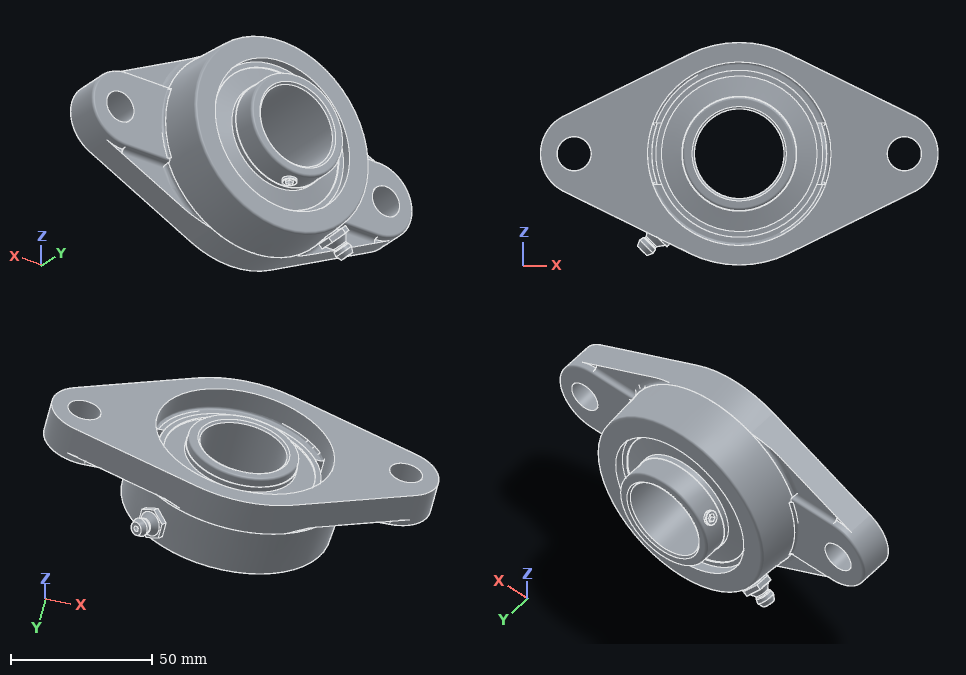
import cadquery as cq
import math


FLANGE_LENGTH = 141.0
FLANGE_HEIGHT = 79.0
END_RADIUS = 15.0
FLANGE_THICKNESS = 10.6
PAD_THICKNESS = 13.5
PAD_EDGE_RADIUS = 1.0
PLATE_COVE_RADIUS = 1.8
PAD_COVE_RADIUS = 1.0
BOLT_HOLE_DIAMETER = 12.0
BOLT_SPACING = 117.0

DRUM_BASE_Y = 11.5
DRUM_BACK_Y = 31.0
DRUM_BASE_RADIUS = FLANGE_HEIGHT / 2
DRUM_BACK_RADIUS = 38.2
DRUM_EDGE_RADIUS = 1.0

BEARING_CENTRE_Y = 18.0
SEAT_DIAMETER = 62.0
OUTER_RING_WIDTH = 18.6
RECESS_DIAMETER = 65.0
RECESS_FLOOR_DIAMETER = 63.0
LOADING_SLOT_WIDTH = 21.7
LOADING_SLOT_FILLET = 1.0

SEAL_OUTER_DIAMETER = 55.1
SEAL_THICKNESS = 1.4
SEAL_INSET = 0.5
SEAL_BULGE = 1.7
INNER_RING_DIAMETER = 40.3
SHOULDER_DIAMETER = 40.7
SHOULDER_INSET = 3.4
BORE_DIAMETER = 31.7
INNER_RING_FRONT_Y = 2.1
INNER_RING_BACK_Y = 40.2
INNER_RING_EDGE_RADIUS = 1.0
BORE_CHAMFER = 0.8

SCREW_DIAMETER = 5.4
SCREW_Y = 35.2
SCREW_ANGLES = (150, 270)
SCREW_INNER_REACH = 16.8
SCREW_OUTER_REACH = 21.2
SCREW_CHAMFER = 0.21
SOCKET_ACROSS_FLATS = 2.7
SOCKET_DEPTH = 2.1

NIPPLE_Y = 23.0
NIPPLE_ANGLE = 225
SHANK_DIAMETER = 5.6
SHANK_REACH = 35.2
HEX_BASE_REACH = 39.3
HEX_TOP_REACH = 41.5
HEX_ACROSS_CORNERS = 12.0
CONE_BASE_DIAMETER = 9.0
NECK_DIAMETER = 5.4
NECK_BASE_REACH = 44.0
NECK_TOP_REACH = 44.5
HEAD_BASE_DIAMETER = 6.0
HEAD_DIAMETER = 6.8
HEAD_BASE_REACH = 45.0
HEAD_TOP_REACH = 46.5
TIP_DIAMETER = 5.0
TIP_REACH = 48.6
GREASE_HOLE_DIAMETER = 2.0
GREASE_HOLE_DEPTH = 2.1

END_CENTRE_X = FLANGE_LENGTH / 2 - END_RADIUS
SEAT_RADIUS = SEAT_DIAMETER / 2
SEAT_OPENING_RADIUS = math.sqrt(SEAT_RADIUS**2 - (OUTER_RING_WIDTH / 2) ** 2)
OUTER_RING_FRONT_Y = BEARING_CENTRE_Y - OUTER_RING_WIDTH / 2
SHOULDER_WIDTH = 2 * (BEARING_CENTRE_Y - INNER_RING_FRONT_Y - SHOULDER_INSET)
OUTER_RING_BACK_Y = BEARING_CENTRE_Y + OUTER_RING_WIDTH / 2


def revolved(profile):
    """Revolve a profile, drawn with radius along X and depth along Y, about the Y axis."""
    return profile.close().revolve(360, (0, 0, 0), (0, 1, 0))


def profile_from(radius, depth):
    return cq.Workplane("XY").moveTo(radius, depth)


def face_plane(depth=0.0):
    """Workplane parallel to the mounting face, facing -Y, with local X and Y along X and Z."""
    return cq.Workplane("XZ", origin=(0, depth, 0))


def radial_plane(angle, depth, reach):
    """Workplane facing away from the bearing axis, at the given reach along the given angle."""
    direction = cq.Vector(math.cos(math.radians(angle)), 0, math.sin(math.radians(angle)))
    origin = direction * reach + cq.Vector(0, depth, 0)
    return cq.Workplane(cq.Plane(origin=origin, xDir=(0, 1, 0), normal=direction))


def flange_outline():
    """Central arc and two end arcs, joined by their common tangents."""
    tangent_sine = (DRUM_BASE_RADIUS - END_RADIUS) / END_CENTRE_X
    tangent_cosine = math.sqrt(1 - tangent_sine**2)
    mid_x = DRUM_BASE_RADIUS * tangent_sine
    mid_z = DRUM_BASE_RADIUS * tangent_cosine
    end_x = END_CENTRE_X + END_RADIUS * tangent_sine
    end_z = END_RADIUS * tangent_cosine
    return (
        face_plane()
        .moveTo(-mid_x, mid_z)
        .threePointArc((0, DRUM_BASE_RADIUS), (mid_x, mid_z))
        .lineTo(end_x, end_z)
        .threePointArc((FLANGE_LENGTH / 2, 0), (end_x, -end_z))
        .lineTo(mid_x, -mid_z)
        .threePointArc((0, -DRUM_BASE_RADIUS), (-mid_x, -mid_z))
        .lineTo(-end_x, -end_z)
        .threePointArc((-FLANGE_LENGTH / 2, 0), (-end_x, end_z))
        .close()
    )


def flange_plate():
    return flange_outline().extrude(-FLANGE_THICKNESS)


def bolt_pads():
    pads = face_plane().slot2D(FLANGE_LENGTH, 2 * END_RADIUS).extrude(-PAD_THICKNESS)
    return pads.faces(">Y").edges().fillet(PAD_EDGE_RADIUS)


def drum_radius(depth):
    """Radius of the drafted drum at the given depth."""
    draft = (DRUM_BASE_RADIUS - DRUM_BACK_RADIUS) / (DRUM_BACK_Y - DRUM_BASE_Y)
    return DRUM_BASE_RADIUS - draft * (depth - DRUM_BASE_Y)


def drum():
    body = revolved(
        profile_from(0, 0)
        .lineTo(DRUM_BASE_RADIUS, 0)
        .lineTo(DRUM_BASE_RADIUS, DRUM_BASE_Y)
        .lineTo(DRUM_BACK_RADIUS, DRUM_BACK_Y)
        .lineTo(0, DRUM_BACK_Y)
    )
    return body.faces(">Y").edges().fillet(DRUM_EDGE_RADIUS)


def cove(plane, corner, base_y, radius):
    """Closed concave fillet profile rising from base_y against a wall at the given distance."""
    arc_middle = radius * (1 - math.sqrt(0.5))
    return (
        cq.Workplane(plane)
        .moveTo(corner - radius, base_y)
        .lineTo(corner + radius, base_y)
        .threePointArc((corner + arc_middle, base_y + arc_middle), (corner, base_y + radius))
        .lineTo(corner - radius, base_y + radius)
        .close()
    )


def drum_coves():
    """Fillets around the foot of the drum, trimmed to the plate and to the pads."""
    axis = ((0, 0, 0), (0, 1, 0))
    plate_cove = cove("XY", DRUM_BASE_RADIUS, FLANGE_THICKNESS, PLATE_COVE_RADIUS).revolve(360, *axis)
    plate_cove = plate_cove.intersect(flange_outline().extrude(-DRUM_BACK_Y))
    pad_cove = cove("XY", drum_radius(PAD_THICKNESS), PAD_THICKNESS, PAD_COVE_RADIUS).revolve(360, *axis)
    pad_flat = face_plane().rect(FLANGE_LENGTH, 2 * (END_RADIUS - PAD_EDGE_RADIUS)).extrude(-DRUM_BACK_Y)
    return plate_cove.union(pad_cove.intersect(pad_flat))


def pad_side_coves():
    """Fillets along the straight sides of the pads."""
    strip = cove("ZY", END_RADIUS, FLANGE_THICKNESS, PLATE_COVE_RADIUS).extrude(END_CENTRE_X, both=True)
    strip = strip.intersect(flange_outline().extrude(-DRUM_BACK_Y))
    return strip.union(strip.mirror("XY"))


def bearing_cavity():
    """Filleted front recess, spherical seat and plain opening through the back."""
    fillet = (RECESS_DIAMETER - RECESS_FLOOR_DIAMETER) / 2
    recess = face_plane().circle(RECESS_DIAMETER / 2).extrude(-OUTER_RING_FRONT_Y)
    recess = recess.faces(">Y").edges().fillet(fillet)
    seat = revolved(
        profile_from(0, OUTER_RING_FRONT_Y)
        .lineTo(SEAT_OPENING_RADIUS, OUTER_RING_FRONT_Y)
        .threePointArc((SEAT_RADIUS, BEARING_CENTRE_Y), (SEAT_OPENING_RADIUS, OUTER_RING_BACK_Y))
        .lineTo(SEAT_OPENING_RADIUS, DRUM_BACK_Y)
        .lineTo(0, DRUM_BACK_Y)
    )
    return recess.union(seat)


def loading_slots():
    """Notches in both sides of the seat lip, for inserting the bearing crosswise."""
    slot = face_plane().rect(RECESS_DIAMETER, LOADING_SLOT_WIDTH).extrude(-BEARING_CENTRE_Y)
    slot = slot.intersect(face_plane().circle(RECESS_DIAMETER / 2).extrude(-BEARING_CENTRE_Y))
    return slot.faces(">Y").edges().fillet(LOADING_SLOT_FILLET)


def build_housing():
    bolt_holes = (
        face_plane()
        .pushPoints([(-BOLT_SPACING / 2, 0), (BOLT_SPACING / 2, 0)])
        .circle(BOLT_HOLE_DIAMETER / 2)
        .extrude(-PAD_THICKNESS)
    )
    nipple_hole = (
        radial_plane(NIPPLE_ANGLE, NIPPLE_Y, SHANK_REACH)
        .circle(SHANK_DIAMETER / 2)
        .extrude(HEX_BASE_REACH - SHANK_REACH)
    )
    body = flange_plate().union(drum()).union(bolt_pads())
    body = body.union(drum_coves()).union(pad_side_coves())
    return body.cut(bearing_cavity()).cut(loading_slots()).cut(bolt_holes).cut(nipple_hole)


def build_outer_ring():
    return revolved(
        profile_from(SEAL_OUTER_DIAMETER / 2, OUTER_RING_FRONT_Y)
        .lineTo(SEAT_OPENING_RADIUS, OUTER_RING_FRONT_Y)
        .threePointArc((SEAT_RADIUS, BEARING_CENTRE_Y), (SEAT_OPENING_RADIUS, OUTER_RING_BACK_Y))
        .lineTo(SEAL_OUTER_DIAMETER / 2, OUTER_RING_BACK_Y)
    )


def build_seal(edge_y, outward):
    """Conical washer; outward is -1 for the front seal and +1 for the back seal."""
    inner_y = edge_y + outward * SEAL_BULGE
    inward = -outward * SEAL_THICKNESS
    return revolved(
        profile_from(SEAL_OUTER_DIAMETER / 2, edge_y)
        .lineTo(SHOULDER_DIAMETER / 2, inner_y)
        .lineTo(SHOULDER_DIAMETER / 2, inner_y + inward)
        .lineTo(SEAL_OUTER_DIAMETER / 2, edge_y + inward)
    )


def screw_blank(angle):
    return (
        radial_plane(angle, SCREW_Y, SCREW_INNER_REACH)
        .circle(SCREW_DIAMETER / 2)
        .extrude(SCREW_OUTER_REACH - SCREW_INNER_REACH)
    )


def build_inner_ring():
    length = INNER_RING_BACK_Y - INNER_RING_FRONT_Y
    annulus = face_plane(INNER_RING_FRONT_Y).circle(INNER_RING_DIAMETER / 2).circle(BORE_DIAMETER / 2)
    ring = annulus.extrude(-length)
    ring = ring.edges(cq.selectors.RadiusNthSelector(0)).chamfer(BORE_CHAMFER)
    ring = ring.edges(cq.selectors.RadiusNthSelector(-1)).fillet(INNER_RING_EDGE_RADIUS)
    shoulder = face_plane(INNER_RING_FRONT_Y + SHOULDER_INSET).circle(SHOULDER_DIAMETER / 2)
    shoulder = shoulder.circle(BORE_DIAMETER / 2).extrude(-SHOULDER_WIDTH)
    ring = ring.union(shoulder)
    for angle in SCREW_ANGLES:
        ring = ring.cut(screw_blank(angle))
    return ring


def build_set_screw(angle):
    socket = (
        radial_plane(angle, SCREW_Y, SCREW_OUTER_REACH)
        .polygon(6, SOCKET_ACROSS_FLATS, circumscribed=True)
        .extrude(-SOCKET_DEPTH)
    )
    direction = radial_plane(angle, SCREW_Y, 0).plane.zDir
    outer_rim = cq.selectors.DirectionMinMaxSelector(direction)
    return screw_blank(angle).faces(outer_rim).edges().chamfer(SCREW_CHAMFER).cut(socket)


def build_nipple():
    hexagon = (
        radial_plane(NIPPLE_ANGLE, NIPPLE_Y, HEX_BASE_REACH)
        .polygon(6, HEX_ACROSS_CORNERS)
        .extrude(HEX_TOP_REACH - HEX_BASE_REACH)
    )
    axis_plane = radial_plane(NIPPLE_ANGLE, NIPPLE_Y, 0).plane
    side_plane = cq.Plane(origin=axis_plane.origin, xDir=axis_plane.xDir, normal=axis_plane.yDir * -1)
    turned = (
        cq.Workplane(side_plane)
        .moveTo(0, SHANK_REACH)
        .lineTo(SHANK_DIAMETER / 2, SHANK_REACH)
        .lineTo(SHANK_DIAMETER / 2, HEX_TOP_REACH)
        .lineTo(CONE_BASE_DIAMETER / 2, HEX_TOP_REACH)
        .lineTo(NECK_DIAMETER / 2, NECK_BASE_REACH)
        .lineTo(NECK_DIAMETER / 2, NECK_TOP_REACH)
        .lineTo(HEAD_BASE_DIAMETER / 2, HEAD_BASE_REACH)
        .lineTo(HEAD_DIAMETER / 2, HEAD_TOP_REACH)
        .lineTo(TIP_DIAMETER / 2, TIP_REACH)
        .lineTo(0, TIP_REACH)
        .close()
        .revolve(360, (0, 0, 0), (0, 1, 0))
    )
    grease_hole = (
        radial_plane(NIPPLE_ANGLE, NIPPLE_Y, TIP_REACH)
        .circle(GREASE_HOLE_DIAMETER / 2)
        .extrude(-GREASE_HOLE_DEPTH)
    )
    return turned.union(hexagon).cut(grease_hole)


housing = build_housing()
outer_ring = build_outer_ring()
inner_ring = build_inner_ring()
front_seal = build_seal(OUTER_RING_FRONT_Y + SEAL_INSET, -1)
back_seal = build_seal(OUTER_RING_BACK_Y - SEAL_INSET, 1)
set_screws = [build_set_screw(angle) for angle in SCREW_ANGLES]
nipple = build_nipple()

bodies = [housing, outer_ring, inner_ring, front_seal, back_seal, *set_screws, nipple]
result = cq.Compound.makeCompound([body.solids().val() for body in bodies])